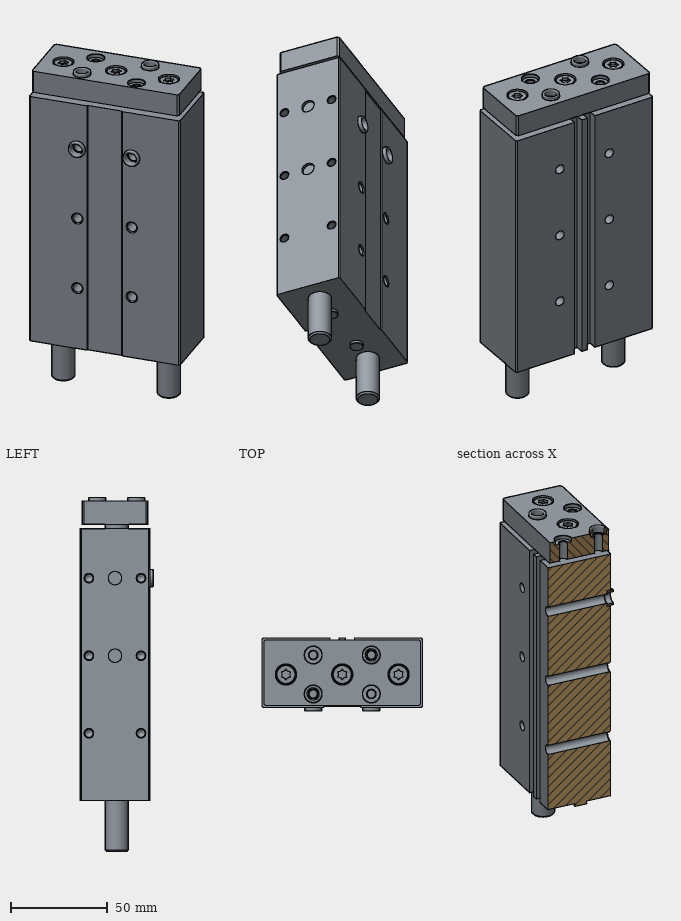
import cadquery as cq
import math


housing_width = 83.0
housing_depth = 36.0
housing_height = 140.4
housing_centre_y = 1.0
housing_chamfer = 0.7
front_y = housing_centre_y - housing_depth / 2
back_y = housing_centre_y + housing_depth / 2
left_x = -housing_width / 2

strip_width = 19.0
strip_depth = 0.5
slot_width = 4.5
slot_depth = 4.5
slot_spacing = 7.9

row_count = 3
row_pitch = 40.0
top_row_inset = 25.6
top_row_z = housing_height - top_row_inset
row_heights = [top_row_z - row * row_pitch for row in range(row_count)]
mount_spacing = 30.0
mount_diameter = 5.1
mount_chamfer = 0.5

thread_diameter = 4.2
thread_chamfer = 0.4
side_hole_spacing = 26.9
side_hole_depth = 8.0
drill_point_angle = 118
port_diameter = 7.0
port_depth = 1.5
port_rows = 2

stop_diameter = 7.0
stop_height = 1.6
stop_spacing = 30.7
stop_chamfer = 0.2

plate_gap = 2.2
plate_width = 81.0
plate_depth = 34.0
plate_height = 12.0
plate_chamfer = 1.0
plate_bottom_z = housing_height + plate_gap
plate_top_z = plate_bottom_z + plate_height
plate_hole_spacing_y = 20.1

guide_diameter = 12.0
guide_spacing = 58.1
guide_bottom_z = -26.3
guide_chamfer = 1.0
piston_rod_diameter = 10.0
piston_rod_reach = 109.7
piston_rod_bottom_z = housing_height - piston_rod_reach
shank_diameter = 6.0
head_diameter = 10.0
head_height = 6.0
head_sink = 0.5
head_chamfer = 0.4
head_bore_diameter = 11
socket_tip_radius = 2.7
socket_root_radius = 2.0
socket_depth = 1.5
lobe_count = 6
head_top_z = plate_top_z - head_sink
head_bottom_z = head_top_z - head_height

sleeve_diameter = 9.0
sleeve_bore = 6.2
sleeve_length = 3.8
sleeve_seat_depth = 2.0
seat_chamfer = 0.2

guide_places = [(x, 0) for x in (-guide_spacing / 2, guide_spacing / 2)]
rod_places = guide_places + [(0, 0)]
mount_columns = [-mount_spacing / 2, mount_spacing / 2]
plate_hole_rows = [-plate_hole_spacing_y / 2, plate_hole_spacing_y / 2]
plate_hole_places = [(x, y) for x in mount_columns for y in plate_hole_rows]
plate_sleeve_places = list(zip(mount_columns, plate_hole_rows))


def place(shape, origin, direction):
    """Move a shape built along +Z so that its base lies at origin and it points along direction."""
    plane = cq.Plane(origin=origin, normal=direction)
    return shape.moved(cq.Location(plane))


def cylinder(diameter, bottom_z, top_z, centre=(0, 0)):
    start = cq.Vector(centre[0], centre[1], bottom_z)
    return cq.Solid.makeCylinder(diameter / 2, top_z - bottom_z, start)


def chamfered_hole(diameter, depth, chamfer):
    """Hole running along +Z from its mouth at Z = 0, with a chamfered mouth."""
    mouth = cq.Solid.makeCone(diameter / 2 + chamfer, diameter / 2, chamfer)
    return cq.Workplane(cylinder(diameter, 0, depth)).union(cq.Workplane(mouth)).val()


def drilled_hole(diameter, depth, chamfer):
    """Chamfered blind hole that ends in the cone of a drill point."""
    point_height = diameter / 2 / math.tan(math.radians(drill_point_angle / 2))
    point = cq.Solid.makeCone(diameter / 2, 0, point_height, cq.Vector(0, 0, depth))
    return cq.Workplane(chamfered_hole(diameter, depth, chamfer)).union(cq.Workplane(point)).val()


def housing_outline():
    block = (
        cq.Workplane("XY")
        .center(0, housing_centre_y)
        .rect(housing_width, housing_depth)
        .extrude(housing_height)
        .edges("|Z")
        .chamfer(housing_chamfer)
    )
    outer_half = strip_width / 2 + strip_depth / 2
    inner_half = strip_width / 2 - strip_depth / 2
    strip = (
        cq.Workplane("XY")
        .polyline([
            (-outer_half, front_y),
            (outer_half, front_y),
            (inner_half, front_y + strip_depth),
            (-inner_half, front_y + strip_depth),
        ])
        .close()
        .extrude(housing_height)
    )
    slot_y = back_y - slot_depth / 2
    slots = (
        cq.Workplane("XY")
        .pushPoints([(-slot_spacing / 2, slot_y), (slot_spacing / 2, slot_y)])
        .rect(slot_width, slot_depth)
        .extrude(housing_height)
    )
    return block.cut(strip).cut(slots)


def make_housing():
    housing = housing_outline()

    mount_hole = chamfered_hole(mount_diameter, housing_depth, mount_chamfer)
    for x in mount_columns:
        for z in row_heights:
            housing = housing.cut(cq.Workplane(place(mount_hole, (x, front_y, z), (0, 1, 0))))
        seat = cylinder(sleeve_diameter, 0, sleeve_seat_depth)
        housing = housing.cut(cq.Workplane(place(seat, (x, front_y, top_row_z), (0, 1, 0))))

    side_hole = drilled_hole(thread_diameter, side_hole_depth, thread_chamfer)
    port = cylinder(port_diameter, 0, port_depth)
    for z in row_heights:
        for offset in (-side_hole_spacing / 2, side_hole_spacing / 2):
            origin = (left_x, housing_centre_y + offset, z)
            housing = housing.cut(cq.Workplane(place(side_hole, origin, (1, 0, 0))))
    for z in row_heights[:port_rows]:
        housing = housing.cut(cq.Workplane(place(port, (left_x, housing_centre_y, z), (1, 0, 0))))

    for centre in guide_places:
        housing = housing.cut(cq.Workplane(cylinder(guide_diameter, 0, housing_height, centre)))
    housing = housing.cut(cq.Workplane(cylinder(piston_rod_diameter, piston_rod_bottom_z, housing_height)))

    stops = (
        cq.Workplane("XY")
        .pushPoints([(-stop_spacing / 2, 0), (stop_spacing / 2, 0)])
        .circle(stop_diameter / 2)
        .extrude(-stop_height)
        .faces("<Z")
        .chamfer(stop_chamfer)
    )
    return housing.union(stops)


def make_plate():
    plate = (
        cq.Workplane("XY", origin=(0, housing_centre_y, plate_bottom_z))
        .rect(plate_width, plate_depth)
        .extrude(plate_height)
        .edges("|Z")
        .chamfer(plate_chamfer)
    )
    for centre in rod_places:
        plate = plate.cut(cq.Workplane(cylinder(shank_diameter, plate_bottom_z, plate_top_z, centre)))
        plate = plate.cut(cq.Workplane(cylinder(head_bore_diameter, head_bottom_z, plate_top_z, centre)))

    seat_z = plate_top_z - sleeve_seat_depth
    seat = chamfered_hole(sleeve_diameter, sleeve_seat_depth, seat_chamfer)
    thread = chamfered_hole(thread_diameter, seat_z - plate_bottom_z, thread_chamfer)
    for centre in plate_hole_places:
        plate = plate.cut(cq.Workplane(place(seat, (*centre, plate_top_z), (0, 0, -1))))
        plate = plate.cut(cq.Workplane(place(thread, (*centre, seat_z), (0, 0, -1))))
    return plate


def make_screw(centre):
    """Screw shank and head above a rod, with a six-lobed socket."""
    shank = cq.Workplane(cylinder(shank_diameter, plate_bottom_z, head_bottom_z, centre))
    head = (
        cq.Workplane("XY", origin=(*centre, head_bottom_z))
        .circle(head_diameter / 2)
        .extrude(head_height)
        .faces(">Z")
        .chamfer(head_chamfer)
    )
    half_lobe = math.pi / lobe_count

    def on_circle(radius, step):
        angle = step * half_lobe
        return (radius * math.cos(angle), radius * math.sin(angle))

    socket = cq.Workplane("XY", origin=(*centre, head_top_z)).moveTo(*on_circle(socket_tip_radius, 1))
    for lobe in range(lobe_count):
        root = on_circle(socket_root_radius, 2 * lobe + 2)
        next_tip = on_circle(socket_tip_radius, 2 * lobe + 3)
        socket = socket.threePointArc(root, next_tip)
    return shank.union(head.cut(socket.close().extrude(-socket_depth)))


def make_guide_rod(centre):
    rod = cq.Workplane(cylinder(guide_diameter, guide_bottom_z, plate_bottom_z, centre))
    return rod.faces("<Z").chamfer(guide_chamfer).union(make_screw(centre))


def make_piston_rod():
    rod = cq.Workplane(cylinder(piston_rod_diameter, piston_rod_bottom_z, plate_bottom_z))
    return rod.union(make_screw((0, 0)))


def make_sleeve(origin, direction):
    """Sleeve with a fully rounded rim, pointing along direction out of a seat with its mouth at origin."""
    outer_radius = sleeve_diameter / 2
    inner_radius = sleeve_bore / 2
    rim_radius = (outer_radius - inner_radius) / 2
    tip_z = sleeve_length - sleeve_seat_depth
    shoulder_z = tip_z - rim_radius
    sleeve = (
        cq.Workplane("XZ")
        .moveTo(inner_radius, -sleeve_seat_depth)
        .lineTo(outer_radius, -sleeve_seat_depth)
        .lineTo(outer_radius, shoulder_z)
        .threePointArc((outer_radius - rim_radius, tip_z), (inner_radius, shoulder_z))
        .close()
        .revolve(360, (0, 0, 0), (0, 1, 0))
    )
    return place(sleeve.val(), origin, direction)


housing = make_housing()
plate = make_plate()
guide_rods = [make_guide_rod(centre).val() for centre in guide_places]
piston_rod = make_piston_rod()
front_sleeves = [make_sleeve((x, front_y, top_row_z), (0, -1, 0)) for x in mount_columns]
plate_sleeves = [make_sleeve((*centre, plate_top_z), (0, 0, 1)) for centre in plate_sleeve_places]

result = cq.Compound.makeCompound([
    housing.val(),
    plate.val(),
    *guide_rods,
    piston_rod.val(),
    *front_sleeves,
    *plate_sleeves,
])